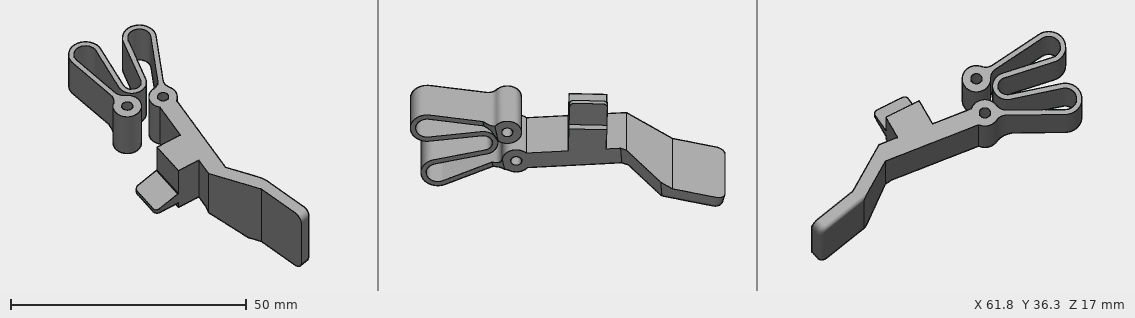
import cadquery as cq
import math

OVERALL_DEPTH = 17.0
SPRING_DEPTH = 10.0
BEAM_DEPTH = 11.95

HUB_RADIUS = 3.0
HOLE_RADIUS = 1.2
WALL = 1.145
UPPER_HUB = (0, 0)
LOWER_HUB = (0.3, -8.05)
HUB_BLEND = 2.5
LOOP_RADIUS = 3.0
TURN_RADIUS = 2.55
UPPER_LOOP = (-17.3, 0)
TURN = (-5.8, -5.16)
LOWER_LOOP = (-16.15, -12.3)

BEAM_ANGLE = 12.1
BEAM_WIDTH = 4.0
BEAM_LENGTH = 23.55
FINGER_WIDTH = 2.95
SHANK_ANGLE = 51.8
SHANK_LENGTH = 12.05
TIP_ANGLE = 30.1
TIP_LENGTH = 11.55
TIP_CORNER_RADIUS = 2.0
BACK_EDGE_RADIUS = 1.0

HUB_RAMP_ANGLE = 6.0
HUB_RAMP_START = -5.4
HUB_RAMP_END = -2.85
FINGER_RAMP_START = 22.3
FINGER_RAMP_END = 30.5

STEM_ANGLE = -72.4
STEM_WIDTH = 8.05
STEM_OFFSET = 14.95
STEM_START = 2.5
STEM_END = 9.1
HINGE_LEDGE = 0.2
TAB_END = 14.9
TAB_TOP = -7.4
TAB_END_TOP = -9.45
TAB_BOTTOM = -10.45
TAB_CORNER_RADIUS = 1.0

REACH = 61.8


def polar(angle, length=1.0):
    """Vector of the given length at an angle in degrees."""
    return (length * math.cos(math.radians(angle)), length * math.sin(math.radians(angle)))


def add(a, b):
    return (a[0] + b[0], a[1] + b[1])


def meet(p, p_angle, q, q_angle):
    """Crossing of two lines, each given by a point and an angle."""
    d = polar(p_angle)
    e = polar(q_angle)
    gap = (q[0] - p[0], q[1] - p[1])
    along = (gap[0] * e[1] - gap[1] * e[0]) / (d[0] * e[1] - d[1] * e[0])
    return add(p, polar(p_angle, along))


def tangent(a, a_radius, b, b_radius):
    """Tangent points on circles a and b for travel from a to b.

    A positive radius circles counterclockwise, a negative one clockwise.
    """
    distance = math.hypot(b[0] - a[0], b[1] - a[1])
    heading = math.degrees(math.atan2(b[1] - a[1], b[0] - a[0]))
    heading -= math.degrees(math.asin((b_radius - a_radius) / distance))
    normal = heading - 90
    return add(a, polar(normal, a_radius)), add(b, polar(normal, b_radius))


def lever_outline():
    """Corner points of the beam and finger, counterclockwise."""
    half_beam = polar(BEAM_ANGLE + 90, BEAM_WIDTH / 2)
    beam_front = (-half_beam[0], -half_beam[1])
    bend_front = add(beam_front, polar(BEAM_ANGLE, BEAM_LENGTH))
    elbow_front = add(bend_front, polar(SHANK_ANGLE, SHANK_LENGTH))
    tip_front = add(elbow_front, polar(TIP_ANGLE, TIP_LENGTH))
    tip_back = add(tip_front, polar(TIP_ANGLE + 90, FINGER_WIDTH))
    shank_back = add(bend_front, polar(SHANK_ANGLE + 90, FINGER_WIDTH))
    elbow_back = meet(tip_back, TIP_ANGLE, shank_back, SHANK_ANGLE)
    bend_back = meet(half_beam, BEAM_ANGLE, shank_back, SHANK_ANGLE)
    return [beam_front, bend_front, elbow_front, tip_front, tip_back, elbow_back, bend_back, half_beam]


def prism(points, depth):
    return cq.Workplane("XY").polyline(points).close().extrude(-depth)


def cylinder(centre, radius, depth):
    return cq.Workplane("XY").center(*centre).circle(radius).extrude(-depth)


def ring_sector(centre, radius, start, end):
    """Round bend of the spring wall, swept from start to end on the -X or +X side."""
    inner = abs(radius) - WALL / 2
    outer = abs(radius) + WALL / 2
    side = -math.copysign(1, radius)

    def at(point, size):
        scale = size / abs(radius)
        return (centre[0] + (point[0] - centre[0]) * scale, centre[1] + (point[1] - centre[1]) * scale)

    return (
        cq.Workplane("XY")
        .moveTo(*at(start, outer))
        .threePointArc((centre[0] + side * outer, centre[1]), at(end, outer))
        .lineTo(*at(end, inner))
        .threePointArc((centre[0] + side * inner, centre[1]), at(start, inner))
        .close()
        .extrude(-SPRING_DEPTH)
    )


def straight_wall(start, end, depth):
    heading = math.degrees(math.atan2(end[1] - start[1], end[0] - start[0]))
    left = polar(heading + 90, WALL / 2)
    right = polar(heading - 90, WALL / 2)
    return prism([add(start, right), add(end, right), add(end, left), add(start, left)], depth)


def hub_blends(hub, toward):
    """Concave flare on both sides of the wall where it joins a hub."""
    heading = math.degrees(math.atan2(toward[1] - hub[1], toward[0] - hub[0]))
    rise = WALL / 2 + HUB_BLEND
    reach = math.sqrt((HUB_RADIUS + HUB_BLEND) ** 2 - rise ** 2)
    along = polar(heading, reach)
    centres = [add(add(hub, along), polar(heading + side, rise)) for side in (90, -90)]
    flare = prism([hub, centres[0], add(hub, along), centres[1]], BEAM_DEPTH)
    for centre in centres:
        flare = flare.cut(cylinder(centre, HUB_BLEND, BEAM_DEPTH))
    return flare


def make_spring():
    """Serpentine wall that follows tangent lines and arcs between the hubs."""
    circles = [
        (UPPER_HUB, 0),
        (UPPER_LOOP, LOOP_RADIUS),
        (TURN, -TURN_RADIUS),
        (LOWER_LOOP, LOOP_RADIUS),
        (LOWER_HUB, 0),
    ]
    runs = [tangent(*a, *b) for a, b in zip(circles, circles[1:])]
    spring = cylinder(UPPER_HUB, HUB_RADIUS, BEAM_DEPTH)
    spring = spring.union(cylinder(LOWER_HUB, HUB_RADIUS, BEAM_DEPTH))
    depths = [BEAM_DEPTH, SPRING_DEPTH, SPRING_DEPTH, BEAM_DEPTH]
    for (start, end), depth in zip(runs, depths):
        spring = spring.union(straight_wall(start, end, depth))
    for (centre, radius), before, after in zip(circles[1:-1], runs, runs[1:]):
        spring = spring.union(ring_sector(centre, radius, before[1], after[0]))
    spring = spring.union(hub_blends(UPPER_HUB, runs[0][1]))
    return spring.union(hub_blends(LOWER_HUB, runs[-1][0]))


def make_lever():
    """Beam and finger, with the finger tip and the rim of its back face rounded."""
    points = lever_outline()
    tip_middle = add(points[3], polar(TIP_ANGLE + 90, FINGER_WIDTH / 2))
    back_middle = add(points[4], polar(TIP_ANGLE, -TIP_LENGTH / 2))
    lever = prism(points, OVERALL_DEPTH)
    for z in (0, -OVERALL_DEPTH):
        edge = cq.selectors.NearestToPointSelector((*tip_middle, z))
        lever = lever.edges(edge).fillet(TIP_CORNER_RADIUS)
    edge = cq.selectors.NearestToPointSelector((*back_middle, 0))
    return lever.edges(edge).fillet(BACK_EDGE_RADIUS)


def side_profile(points, angle):
    """Profile of distance and height, swept square to a direction in plan."""
    body = cq.Workplane("XZ").polyline(points).close().extrude(REACH, both=True)
    return body.rotate((0, 0, 0), (0, 0, 1), angle)


def space_below_spring():
    points = [
        (-REACH, -SPRING_DEPTH),
        (HUB_RAMP_START, -SPRING_DEPTH),
        (HUB_RAMP_END, -BEAM_DEPTH),
        (-REACH, -BEAM_DEPTH),
    ]
    return side_profile(points, HUB_RAMP_ANGLE)


def space_below_beam():
    points = [
        (-REACH, -BEAM_DEPTH),
        (FINGER_RAMP_START, -BEAM_DEPTH),
        (FINGER_RAMP_END, -OVERALL_DEPTH),
        (-REACH, -OVERALL_DEPTH),
    ]
    return side_profile(points, BEAM_ANGLE)


def make_stem():
    """Stem and tab, built along +X and then turned to the stem direction."""
    low_side = STEM_OFFSET - STEM_WIDTH / 2
    high_side = STEM_OFFSET + STEM_WIDTH / 2
    stem = prism(
        [(STEM_START, low_side), (STEM_END, low_side), (STEM_END, high_side), (STEM_START, high_side)],
        BEAM_DEPTH,
    )
    tab = (
        cq.Workplane("XZ", origin=(0, low_side, 0))
        .moveTo(STEM_START, TAB_TOP)
        .lineTo(STEM_END + HINGE_LEDGE, TAB_TOP)
        .lineTo(TAB_END, TAB_END_TOP)
        .lineTo(TAB_END, TAB_BOTTOM)
        .lineTo(STEM_START, TAB_BOTTOM)
        .close()
        .extrude(-STEM_WIDTH)
        .edges("|Z and >X")
        .fillet(TAB_CORNER_RADIUS)
    )
    return stem.union(tab).rotate((0, 0, 0), (0, 0, 1), STEM_ANGLE)


result = make_spring().union(make_lever())
result = result.cut(space_below_spring()).cut(space_below_beam())
result = result.union(make_stem())
for hub_centre in (UPPER_HUB, LOWER_HUB):
    result = result.cut(cylinder(hub_centre, HOLE_RADIUS, BEAM_DEPTH))